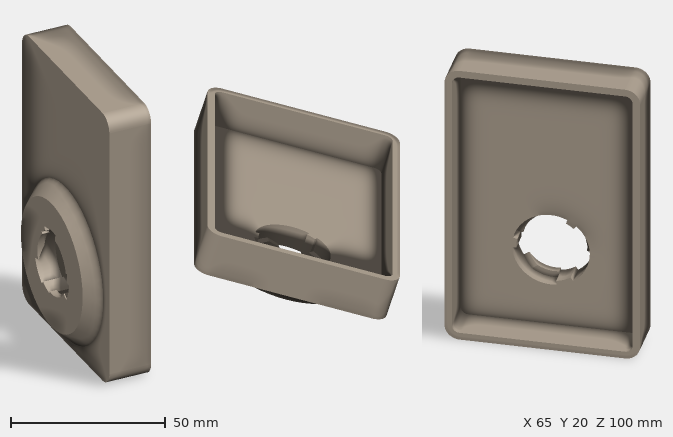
import cadquery as cq
import math

width = 65.0
height = 100.0
housing_depth = 15.0
corner_radius = 5.0
wall = 2.5

boss_height = 5.0
boss_base_radius = 28.0
boss_top_radius = boss_base_radius - boss_height
boss_center_above_bottom = 30.0
boss_center_z = boss_center_above_bottom - height / 2

bore_radius = 10.7
notch_radius = 12.9
step_radius = 11.5
bore_length = boss_height + wall
lip_thickness = 2.5
lip_edge_thickness = 0.3
ramp_length = 4.5

notch_angles = [(78.0, 115.5), (196.5, 235.5), (326.0, 357.0)]
step_angles = [(115.5, 131.0), (235.5, 261.5), (357.0, 373.0)]
undercut_angles = [(13.0, 78.0), (131.0, 196.5), (261.5, 326.0)]


def front_plane(y, z=0.0):
    """Plane at depth y, facing the front (-Y), with local x along +X and local y along +Z."""
    return cq.Workplane(cq.Plane(origin=(0, y, z), xDir=(1, 0, 0), normal=(0, -1, 0)))


def polar_point(radius, angle):
    """Point on a circle about the bore axis."""
    return (radius * math.cos(math.radians(angle)), radius * math.sin(math.radians(angle)))


def sector_cut(radius, start, end, length):
    """Pie-shaped prism that widens the bore between two angles, from its back end forward."""
    return (
        front_plane(wall, boss_center_z)
        .lineTo(*polar_point(radius, start))
        .threePointArc(polar_point(radius, (start + end) / 2), polar_point(radius, end))
        .close()
        .extrude(length)
    )


def ramp_cut(start, end):
    """Wedge that thins the back of the lip toward the notch at the end angle."""
    radial_x, radial_z = polar_point(1, end)
    edge_plane = cq.Plane(origin=(0, 0, boss_center_z), xDir=(0, -1, 0), normal=(radial_x, 0, radial_z))
    wedge = (
        cq.Workplane(edge_plane)
        .moveTo(boss_height - lip_thickness, 0)
        .lineTo(boss_height - lip_edge_thickness, 0)
        .lineTo(boss_height - lip_thickness, ramp_length)
        .close()
        .extrude(notch_radius)
    )
    return wedge.intersect(sector_cut(notch_radius, start, end, bore_length))


housing = front_plane(housing_depth).rect(width, height).extrude(housing_depth)
housing = housing.edges("|Y").fillet(corner_radius)

cavity = front_plane(housing_depth).rect(width - 2 * wall, height - 2 * wall).extrude(housing_depth - wall)
cavity = cavity.edges("|Y").fillet(corner_radius - wall)

boss = cq.Workplane(
    cq.Solid.makeCone(
        boss_base_radius,
        boss_top_radius,
        boss_height,
        pnt=cq.Vector(0, 0, boss_center_z),
        dir=cq.Vector(0, -1, 0),
    )
)

bore = front_plane(wall, boss_center_z).circle(bore_radius).extrude(bore_length)
for start, end in notch_angles:
    bore = bore.union(sector_cut(notch_radius, start, end, bore_length))
for start, end in step_angles:
    bore = bore.union(sector_cut(step_radius, start, end, bore_length))
for start, end in undercut_angles:
    bore = bore.union(sector_cut(notch_radius, start, end, bore_length - lip_thickness))
    bore = bore.union(ramp_cut(start, end))

result = housing.cut(cavity).union(boss).cut(bore)